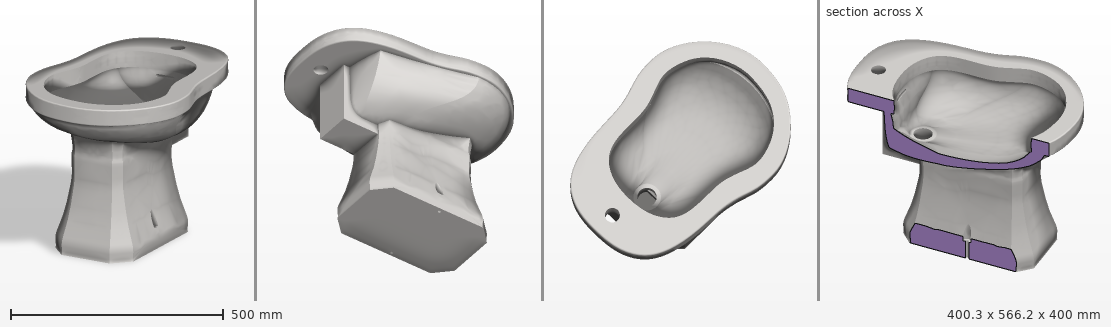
import cadquery as cq
import math


rim_top = 400.0
rim_bottom = 359.5
rim_front = -283
rim_back = 283
rim_side_points = [
    (82.5, -267.0), (143.0, -225.0), (184.0, -168.0), (199.0, -122.0), (200.0, -93.5), (196.0, -55.5),
    (183.0, -13.0), (174.0, 29.5), (170.5, 85), (160.5, 170.5), (126.5, 241.5), (76.5, 273.0),
]
rim_rounding = 3.5
opening_front = -240.0
opening_back = 172.0
opening_side_points = [
    (75.0, -225.0), (127.0, -182.5), (147, -140.0), (153, -97.5), (140.5, -55.5),
    (127.5, -13.0), (124.5, 29.5), (123.5, 79.5), (109.0, 128.0), (73.5, 157.5),
]
tap_hole_y = 228.0
tap_hole_radius = 17.5

bowl_sections = [
    (rim_bottom, -268.5, 194.5, -90.0, 161.5, 45.5, 141.5, 157.0, 182.0),
    (325.5, -244.0, 175.5, -81.5, 153, 45.5, 132.0, 157.0, 182.0),
    (294.5, -192.5, 153, -45.5, 141.5, 51, 119, 157.0, 182.0),
    (263.5, -102, 116.0, 11.5, 116.0, 68, 99.0, 157.0, 182.0),
    (238, -17, 72.5, 45.5, 79.5, 85, 73.5, 153, 178.5),
    (223.0, 45.5, 39.5, 62.5, 45.5, 96.5, 45.5, 141.5, 167.5),
]

drain_y = 112.0
drain_rim_radius = 32.5
drain_rim_z = 250.5
drain_hole_radius = 22.5
drain_ledge_z = 232
drain_floor_z = 212.5
drain_ledge_back = 96.0


def drain_rim_point(degrees):
    """Point on the drain rim, the angle measured from +X."""
    angle = math.radians(degrees)
    return drain_rim_radius * math.cos(angle), drain_y + drain_rim_radius * math.sin(angle)


cavity_sections = [
    (rim_bottom, -234.0, 173.0, -79.5, 144.5, 45.5, 113.5, 141.5, 175.0),
    (323, -204, 153, -55.5, 133.0, 45.5, 97.5, 144.0, 163.5),
    (289, -136, 110.5, 11.5, 88.0, 79.5, 62.5, 153, 159.0),
    (266, -17, 53.0, 59.5, 50.0, 105.0, 36.0, 145.0, 154.5),
    (
        drain_rim_z, drain_y - drain_rim_radius,
        *drain_rim_point(0),
        *drain_rim_point(22.5),
        *drain_rim_point(45),
        drain_y + drain_rim_radius,
    ),
]

overflow_z = 344.5
overflow_length = 51
overflow_height = 7.0
overflow_back = 178.5

waist_half_width = 69.0
waist_front = -169.5
waist_back = 97.0
waist_corner = 18.0
foot_corner = 41.0
foot_flare = 37.0
flare_levels = [
    (0, foot_flare), (15.5, 36.0), (30.5, 36.0), (52.0, 30.0), (84.0, 19.0),
    (115.5, 11.5), (147, 5.0), (187, 0), (232, 1.0), (294.5, 4.5),
]

block_half_width = 47.5
block_back = 196.0
block_front = 56.5
block_bottom = 197.5

screw_x = 96.0
screw_y = -46.5
screw_seat_z = 50.0
screw_seat_radius = 9.5
screw_seat_top = 113.5
screw_hole_radius = 4.0


def mirrored_outline(front, side_points, back):
    """Closed smooth outline through its right-hand points and their mirror images."""
    left_points = [(-x, y) for x, y in reversed(side_points)]
    points = [(0, front)] + side_points + [(0, back)] + left_points
    return cq.Workplane("XY").workplane(offset=rim_bottom).spline(points, periodic=True).close()


def bowl_wire(z, front, seam_x, seam_y, side_x, side_y, corner_x, corner_y, back):
    """Closed section of four curves: near-elliptic front, right side, back and left side."""
    def vectors(*points):
        return [cq.Vector(x, y, z) for x, y in points]

    pull_y = seam_y + (front - seam_y) * 4 / 3
    left_seam, right_seam = (-seam_x, seam_y), (seam_x, seam_y)
    left_corner, right_corner = (-corner_x, corner_y), (corner_x, corner_y)
    return cq.Wire.assembleEdges([
        cq.Edge.makeBezier(vectors(left_seam, (-seam_x, pull_y), (seam_x, pull_y), right_seam)),
        cq.Edge.makeSpline(vectors(right_seam, (side_x, side_y), right_corner)),
        cq.Edge.makeSpline(vectors(right_corner, (0, back), left_corner)),
        cq.Edge.makeSpline(vectors(left_corner, (-side_x, side_y), left_seam)),
    ])


def bowl_loft(sections):
    return cq.Workplane(cq.Solid.makeLoft([bowl_wire(*section) for section in sections]))


def pedestal_wire(z, flare):
    """Rectangle with cut corners, grown outward by the flare."""
    x = waist_half_width + flare
    front = waist_front - flare
    back = waist_back + flare
    cut = waist_corner + (foot_corner - waist_corner) * flare / foot_flare
    right_points = [(x - cut, front), (x, front + cut), (x, back - cut), (x - cut, back)]
    left_points = [(-px, py) for px, py in reversed(right_points)]
    return cq.Wire.makePolygon([cq.Vector(px, py, z) for px, py in right_points + left_points], close=True)


def cylinder(x, y, radius, bottom, top):
    return cq.Workplane("XY", origin=(x, y, bottom)).circle(radius).extrude(top - bottom)


def box(x_size, back, front, bottom, top):
    corner = cq.Vector(-x_size / 2, front, bottom)
    return cq.Workplane(cq.Solid.makeBox(x_size, back - front, top - bottom, corner))


rim_height = rim_top - rim_bottom
rim = mirrored_outline(rim_front, rim_side_points, rim_back).extrude(rim_height)
rim = rim.faces("<Z or >Z").edges().fillet(rim_rounding)
pedestal = cq.Workplane(cq.Solid.makeLoft([pedestal_wire(*level) for level in flare_levels]))
block = box(2 * block_half_width, block_back, block_front, block_bottom, rim_bottom)
body = bowl_loft(bowl_sections).union(pedestal).union(block).union(rim)

opening = mirrored_outline(opening_front, opening_side_points, opening_back).extrude(rim_height)
body = body.cut(opening).cut(bowl_loft(cavity_sections))
body = body.cut(cylinder(0, tap_hole_y, tap_hole_radius, rim_bottom, rim_top))

drain_hole = cylinder(0, drain_y, drain_hole_radius, drain_floor_z, drain_rim_z)
drain_ledge = box(
    2 * drain_hole_radius, drain_ledge_back, drain_y - drain_hole_radius, drain_floor_z, drain_ledge_z
)
body = body.cut(drain_hole.cut(drain_ledge))

overflow = (
    cq.Workplane("XZ", origin=(0, overflow_back, overflow_z))
    .slot2D(overflow_length, overflow_height)
    .extrude(overflow_back - drain_y)
)
body = body.cut(overflow)

for side in (-1, 1):
    body = body.cut(cylinder(side * screw_x, screw_y, screw_seat_radius, screw_seat_z, screw_seat_top))
    body = body.cut(cylinder(side * screw_x, screw_y, screw_hole_radius, 0, screw_seat_z))

result = body